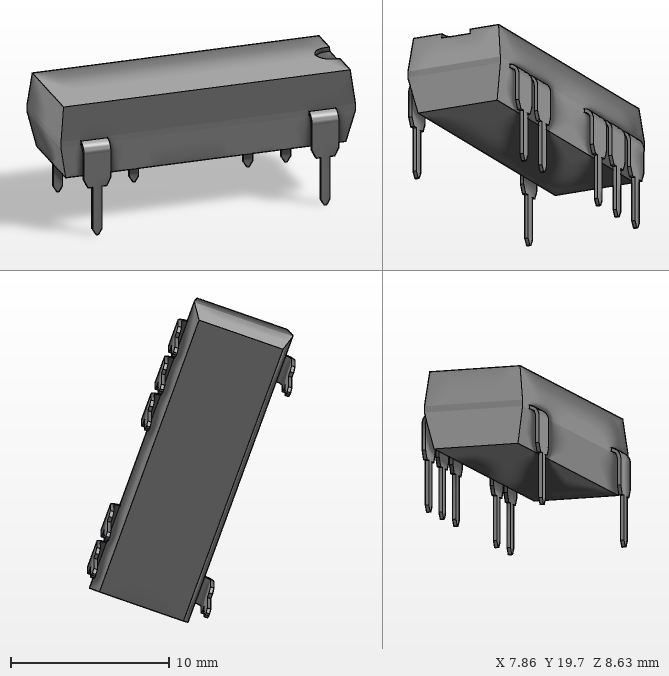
import cadquery as cq
import math

PACKAGE_LENGTH = 19.7
PACKAGE_WIDTH = 6.6
BAND_HEIGHT = 0.41
BLOCK_HEIGHT = 2.27
UPPER_DRAFT_ANGLE = 6.7
LOWER_DRAFT_ANGLE = 12.0

NOTCH_RADIUS = 1.0
NOTCH_DEPTH = 0.3
NOTCH_CENTRE_INSET = 0.51

ROW_PITCH = 2.55
LEFT_ROWS = [-3, -2, -1, 2, 3]
RIGHT_ROWS = [-3, 3]
LEAD_SPAN = 7.86
LEAD_THICKNESS = 0.24
BEND_RADIUS = 0.75
SHOULDER_WIDTH = 1.8
SHOULDER_END_WIDTH = 1.25
SHOULDER_TAPER_HEIGHT = 0.55
LEG_WIDTH = 0.61
TIP_WIDTH = 0.14
TIP_HEIGHT = 0.4
LEG_LENGTH = 3.27

OVERALL_HEIGHT = 8.63

BAND_TOP = BAND_HEIGHT / 2
PACKAGE_TOP = BAND_TOP + BLOCK_HEIGHT
LEAD_TOP = LEAD_THICKNESS / 2
TIP_Z = PACKAGE_TOP - OVERALL_HEIGHT
SHOULDER_END_Z = TIP_Z + LEG_LENGTH
LEAD_OUTER_X = LEAD_SPAN / 2
BEND_CENTRE_X = LEAD_OUTER_X - BEND_RADIUS
BEND_CENTRE_Z = LEAD_TOP - BEND_RADIUS


def drafted_block(direction, draft_angle):
    """Block that narrows away from the band; direction is +1 for up and -1 for down."""
    inset = BLOCK_HEIGHT * math.tan(math.radians(draft_angle))
    return (
        cq.Workplane("XY", origin=(0, 0, direction * BAND_TOP))
        .rect(PACKAGE_WIDTH, PACKAGE_LENGTH)
        .workplane(offset=direction * BLOCK_HEIGHT)
        .rect(PACKAGE_WIDTH - 2 * inset, PACKAGE_LENGTH - 2 * inset)
        .loft(ruled=True)
    )


def make_notch():
    """Round-ended recess that opens through the +Y end of the top face."""
    end_y = PACKAGE_LENGTH / 2
    centre_y = end_y - NOTCH_CENTRE_INSET
    return (
        cq.Workplane("XY", origin=(0, 0, PACKAGE_TOP - NOTCH_DEPTH))
        .moveTo(-NOTCH_RADIUS, end_y)
        .lineTo(-NOTCH_RADIUS, centre_y)
        .threePointArc((0, centre_y - NOTCH_RADIUS), (NOTCH_RADIUS, centre_y))
        .lineTo(NOTCH_RADIUS, end_y)
        .close()
        .extrude(NOTCH_DEPTH)
    )


def make_package():
    band = cq.Workplane("XY").box(PACKAGE_WIDTH, PACKAGE_LENGTH, BAND_HEIGHT)
    upper = drafted_block(1, UPPER_DRAFT_ANGLE)
    lower = drafted_block(-1, LOWER_DRAFT_ANGLE)
    return band.union(upper).union(lower).cut(make_notch())


def make_lead():
    """Lead on the +X side at y = 0: a bent strip trimmed to the shoulder, leg and tip outline."""
    inner_radius = BEND_RADIUS - LEAD_THICKNESS
    diagonal = math.sqrt(0.5)
    strip = (
        cq.Workplane("XZ", origin=(0, SHOULDER_WIDTH / 2, 0))
        .moveTo(BEND_CENTRE_X, LEAD_TOP)
        .threePointArc(
            (BEND_CENTRE_X + BEND_RADIUS * diagonal, BEND_CENTRE_Z + BEND_RADIUS * diagonal),
            (LEAD_OUTER_X, BEND_CENTRE_Z),
        )
        .lineTo(LEAD_OUTER_X, TIP_Z)
        .lineTo(LEAD_OUTER_X - LEAD_THICKNESS, TIP_Z)
        .lineTo(LEAD_OUTER_X - LEAD_THICKNESS, BEND_CENTRE_Z)
        .threePointArc(
            (BEND_CENTRE_X + inner_radius * diagonal, BEND_CENTRE_Z + inner_radius * diagonal),
            (BEND_CENTRE_X, LEAD_TOP - LEAD_THICKNESS),
        )
        .close()
        .extrude(SHOULDER_WIDTH)
    )
    half_outline = [
        (SHOULDER_WIDTH / 2, LEAD_TOP),
        (SHOULDER_WIDTH / 2, SHOULDER_END_Z + SHOULDER_TAPER_HEIGHT),
        (SHOULDER_END_WIDTH / 2, SHOULDER_END_Z),
        (LEG_WIDTH / 2, SHOULDER_END_Z),
        (LEG_WIDTH / 2, TIP_Z + TIP_HEIGHT),
        (TIP_WIDTH / 2, TIP_Z),
    ]
    mirrored_outline = [(-y, z) for y, z in reversed(half_outline)]
    outline = cq.Workplane("YZ").polyline(half_outline + mirrored_outline).close().extrude(LEAD_OUTER_X)
    return strip.intersect(outline)


def place_leads():
    """One separate lead for each occupied row on both sides."""
    right_lead = make_lead()
    left_lead = right_lead.rotate((0, 0, 0), (0, 0, 1), 180)
    placed = []
    for lead, rows in ((left_lead, LEFT_ROWS), (right_lead, RIGHT_ROWS)):
        for row in rows:
            placed.append(lead.translate((0, row * ROW_PITCH, 0)))
    return placed


leads = place_leads()

package = make_package()
for lead in leads:
    package = package.cut(lead)

result = cq.Compound.makeCompound([package.val(), *[lead.val() for lead in leads]])